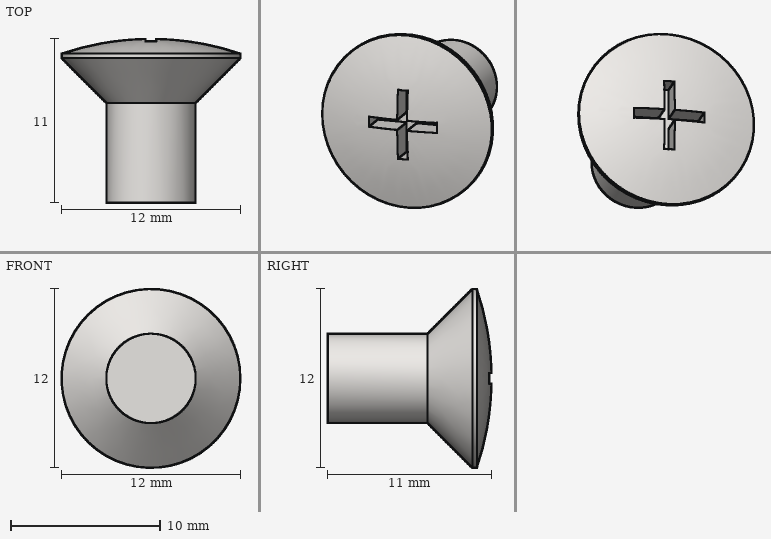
import cadquery as cq
import math

shank_diameter = 6.0
head_diameter = 2 * shank_diameter
length_below_dome = 10.0
rim_height = 0.3
dome_height = 1.0

recess_span = 4.8
recess_arm_width = 0.7
recess_depth = 2.0

shank_radius = shank_diameter / 2
head_radius = head_diameter / 2
cone_height = head_radius - shank_radius
cone_bottom = -rim_height - cone_height
dome_radius = (head_radius**2 + dome_height**2) / (2 * dome_height)


def dome_level(radius):
    """Y of the spherical dome at a given distance from the screw axis."""
    return dome_height - dome_radius + math.sqrt(dome_radius**2 - radius**2)


def make_body():
    """Shank, countersink cone, rim and dome as one revolved half profile."""
    mid_radius = head_radius / 2
    profile = (
        cq.Workplane("XY")
        .moveTo(0, -length_below_dome)
        .lineTo(shank_radius, -length_below_dome)
        .lineTo(shank_radius, cone_bottom)
        .lineTo(head_radius, -rim_height)
        .lineTo(head_radius, 0)
        .threePointArc((mid_radius, dome_level(mid_radius)), (0, dome_height))
        .close()
    )
    return profile.revolve(360, (0, 0, 0), (0, 1, 0))


def make_recess():
    """Two crossed bars that form the driver recess."""
    center = (0, dome_height - recess_depth / 2, 0)
    bar_along_x = cq.Workplane("XY").box(recess_span, recess_depth, recess_arm_width).translate(center)
    bar_along_z = cq.Workplane("XY").box(recess_arm_width, recess_depth, recess_span).translate(center)
    return bar_along_x.union(bar_along_z)


result = make_body().cut(make_recess())